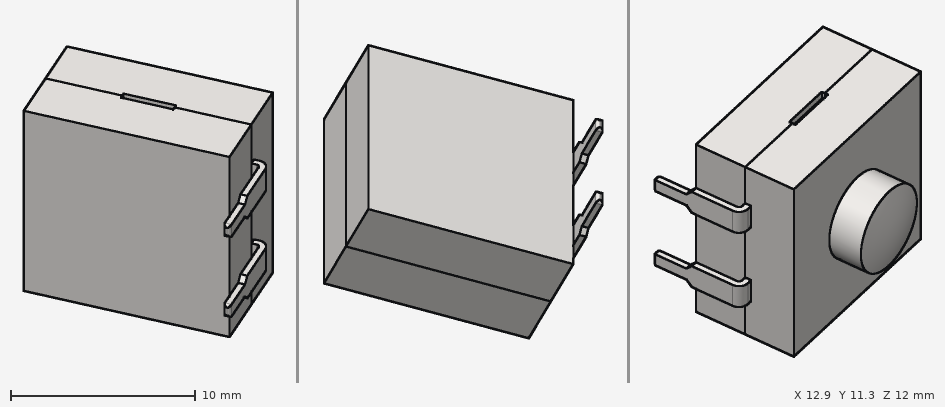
import math

import cadquery as cq


housing_side = 12.0
housing_depth = 6.5
cover_depth = 3.23
base_depth = housing_depth - cover_depth

slot_length = 3.05
slot_width = 0.4
slot_depth = 0.5

button_radius = 5.3 / 2
button_wall_height = 2.1
dome_height = 0.5

terminal_count = 2
terminal_pitch = 5.32
terminal_thickness = 0.4
terminal_reach = 0.9
shank_width = 1.5
tail_width = 0.8
tail_length = 2.2
bend_inner_radius = 0.2
bend_outer_radius = bend_inner_radius + terminal_thickness
tip_radius = 0.19


def housing_half(y_start, depth):
    """Square block from y_start to y_start + depth, with its half of the pry slot."""
    block = cq.Workplane("XY").box(housing_side, depth, housing_side, centered=(True, False, True))
    slot = cq.Workplane("XY").box(slot_length, slot_width, 2 * slot_depth)
    slot = slot.translate((0, 0, housing_side / 2))
    return block.translate((0, y_start, 0)).cut(slot)


def make_base():
    return housing_half(-base_depth, base_depth)


def make_cover():
    """Housing half on the +Y side with the domed round button on it."""
    rim_y = cover_depth + button_wall_height
    crown_y = rim_y + dome_height
    dome_radius = (button_radius**2 + dome_height**2) / (2 * dome_height)
    half_angle = math.asin(button_radius / dome_radius) / 2
    dome_middle = (
        crown_y - dome_radius * (1 - math.cos(half_angle)),
        dome_radius * math.sin(half_angle),
    )
    button = (
        cq.Workplane("YZ")
        .moveTo(cover_depth, 0)
        .lineTo(cover_depth, button_radius)
        .lineTo(rim_y, button_radius)
        .threePointArc(dome_middle, (crown_y, 0))
        .close()
        .revolve(360, (0, 0), (1, 0))
    )
    return housing_half(0, cover_depth).union(button)


def make_terminal(z_center):
    """Flat strip bent through 90 degrees, narrowing at 45 degrees to a rounded tail."""
    wall_x = housing_side / 2
    outer_x = wall_x + terminal_reach
    inner_x = outer_x - terminal_thickness
    bend_x = outer_x - bend_outer_radius
    bend_y = terminal_thickness - bend_outer_radius
    tail_start_y = -base_depth
    tip_y = tail_start_y - tail_length

    diagonal = math.sqrt(0.5)
    outer_middle = (bend_x + bend_outer_radius * diagonal, bend_y + bend_outer_radius * diagonal)
    inner_middle = (bend_x + bend_inner_radius * diagonal, bend_y + bend_inner_radius * diagonal)
    strip = (
        cq.Workplane("XY")
        .moveTo(wall_x, 0)
        .lineTo(wall_x, terminal_thickness)
        .lineTo(bend_x, terminal_thickness)
        .threePointArc(outer_middle, (outer_x, bend_y))
        .lineTo(outer_x, tip_y)
        .lineTo(inner_x, tip_y)
        .lineTo(inner_x, bend_y)
        .threePointArc(inner_middle, (bend_x, 0))
        .close()
        .extrude(shank_width / 2, both=True)
    )

    shoulder_y = tail_start_y + (shank_width - tail_width) / 2
    width_outline = (
        cq.Workplane("YZ", origin=(wall_x, 0, 0))
        .polyline([
            (terminal_thickness, shank_width / 2),
            (shoulder_y, shank_width / 2),
            (tail_start_y, tail_width / 2),
            (tip_y, tail_width / 2),
            (tip_y, -tail_width / 2),
            (tail_start_y, -tail_width / 2),
            (shoulder_y, -shank_width / 2),
            (terminal_thickness, -shank_width / 2),
        ])
        .close()
        .extrude(terminal_reach)
    )
    terminal = strip.intersect(width_outline).faces("<Y").edges().fillet(tip_radius)
    return terminal.translate((0, 0, z_center))


base = make_base()
cover = make_cover()
terminals = [
    make_terminal((index - (terminal_count - 1) / 2) * terminal_pitch)
    for index in range(terminal_count)
]

result = cq.Compound.makeCompound([
    base.val(),
    cover.val(),
    *[terminal.val() for terminal in terminals],
])